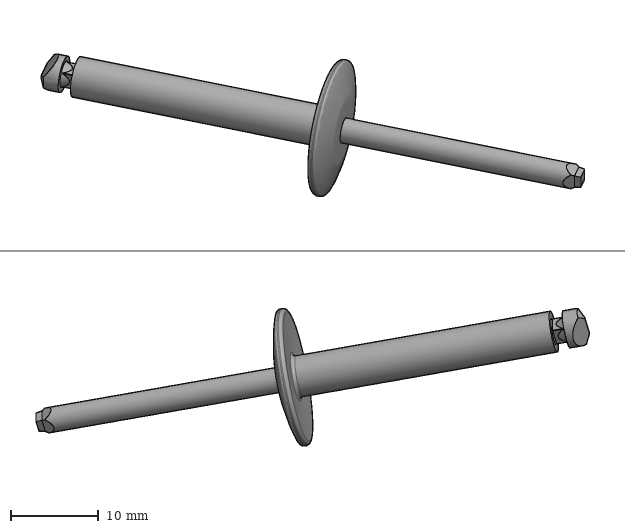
import cadquery as cq
import math


sleeve_diameter = 4.74
sleeve_length = 29.9
bore_diameter = 2.97
base_fillet = 0.42

flange_diameter = 15.88
flange_height = 1.98
rim_round = 0.45
rim_top = 0.6
dome_shoulder_height = 1.08
dome_shoulder_diameter = 15.0
dome_middle_height = 1.8
dome_middle_diameter = 9.2
dish_angle = 3.0

overall_length = 64.25
shank_diameter = 2.9

head_width = 4.5
head_thickness = 4.1
head_length = 2.4
chisel_length = 2.4
chisel_thickness = 0.2
wide_flat_angle = 50.5
end_flat_angle = 57.0

neck_gap = 1.5
neck_width = 2.1
flare_start_gap = 0.12
flare_length = 0.8
collar_large_diameter = 3.06
collar_small_diameter = 2.04
collar_length = 1.05

taper_length = 1.92
tip_length = 0.73
tip_base_width = 1.69
tip_end_width = 1.5

sleeve_end = -sleeve_length
neck_start = sleeve_end - neck_gap
flare_start = sleeve_end - flare_start_gap
flare_end = flare_start + flare_length
head_tip = neck_start - head_length
tail_end = head_tip + overall_length
taper_start = tail_end - taper_length
tip_start = tail_end - tip_length


def along_x(start):
    """Work plane normal to the rivet axis at the given X; its x and y are the part's Y and Z."""
    return cq.Workplane("YZ", origin=(start, 0, 0))


def frustum(start, start_size, end, end_size):
    """Straight-sided rectangular frustum along X; each size is (width in Y, height in Z)."""
    return (
        along_x(start)
        .rect(*start_size)
        .workplane(offset=end - start)
        .rect(*end_size)
        .loft(ruled=True)
    )


def square(width):
    return (width, width)


def make_sleeve():
    """Tube and domed flange, revolved from one half section that already leaves the bore open."""
    bore_radius = bore_diameter / 2
    sleeve_radius = sleeve_diameter / 2
    flange_radius = flange_diameter / 2
    dish_radius = flange_radius - rim_round

    dish = math.radians(dish_angle)
    fillet_centre_radius = sleeve_radius + base_fillet
    fillet_centre_x = (dish_radius - fillet_centre_radius) * math.tan(dish) - base_fillet / math.cos(dish)
    fillet_middle = 0.75 * math.pi - dish / 2

    def fillet_point(angle):
        return (
            fillet_centre_x + base_fillet * math.sin(angle),
            fillet_centre_radius + base_fillet * math.cos(angle),
        )

    rim_middle = rim_round * (1 - math.sqrt(0.5))

    dome_points = [
        (dome_shoulder_height, dome_shoulder_diameter / 2),
        (dome_middle_height, dome_middle_diameter / 2),
        (flange_height, bore_radius),
    ]
    along_rim = (1, 0)
    towards_axis = (0, -1)

    section = (
        cq.Workplane("XY")
        .moveTo(sleeve_end, bore_radius)
        .lineTo(sleeve_end, sleeve_radius)
        .lineTo(fillet_centre_x, sleeve_radius)
        .threePointArc(fillet_point(fillet_middle), fillet_point(math.pi / 2 - dish))
        .lineTo(0, dish_radius)
        .threePointArc((rim_middle, flange_radius - rim_middle), (rim_round, flange_radius))
        .lineTo(rim_top, flange_radius)
        .spline(dome_points, tangents=[along_rim, towards_axis], includeCurrent=True)
        .close()
    )
    return section.revolve(360, (0, 0, 0), (1, 0, 0))


def make_head():
    """Oval cylinder cut to a chisel point by two wide flats and two end flats."""
    oval = along_x(head_tip).ellipse(head_width / 2, head_thickness / 2).extrude(head_length)
    width_growth = 2 * head_length * math.tan(math.radians(end_flat_angle))
    thickness_growth = 2 * head_length * math.tan(math.radians(wide_flat_angle))
    chisel = frustum(
        head_tip,
        (chisel_length, chisel_thickness),
        neck_start,
        (chisel_length + width_growth, chisel_thickness + thickness_growth),
    )
    return oval.intersect(chisel)


def make_collar():
    """Cone that blends the head into the square neck."""
    return (
        along_x(neck_start)
        .circle(collar_large_diameter / 2)
        .workplane(offset=collar_length)
        .circle(collar_small_diameter / 2)
        .loft()
    )


def make_shank():
    """Round bar squared down at the neck and at the tail."""
    bar = along_x(neck_start).circle(shank_diameter / 2).extrude(tail_end - neck_start)
    stations = [
        (neck_start, neck_width),
        (flare_start, neck_width),
        (flare_end, shank_diameter),
        (taper_start, shank_diameter),
        (tip_start, tip_base_width),
        (tail_end, tip_end_width),
    ]
    squared = cq.Workplane("XY")
    for (start, start_width), (end, end_width) in zip(stations, stations[1:]):
        squared = squared.add(frustum(start, square(start_width), end, square(end_width)))
    return bar.intersect(squared.combine())


def make_mandrel():
    return make_head().union(make_collar()).union(make_shank())


sleeve = make_sleeve()
mandrel = make_mandrel()
result = cq.Compound.makeCompound([sleeve.val(), mandrel.solids().val()])